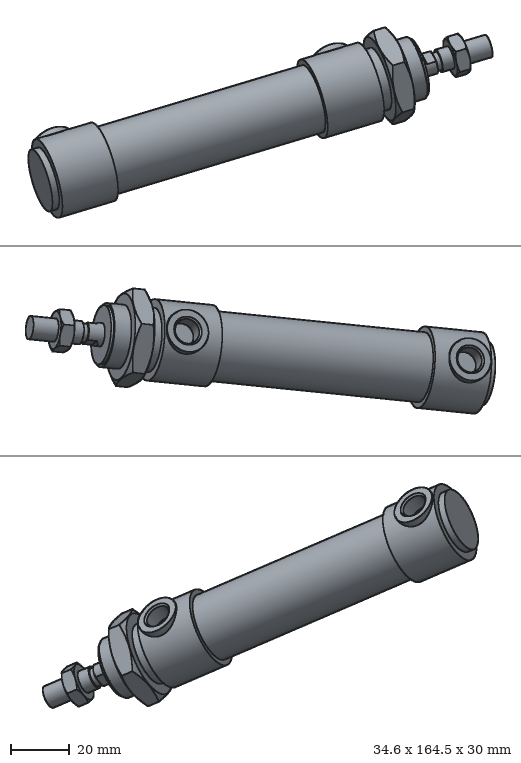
import cadquery as cq
import math

overall_length = 164.5

cap_diameter = 28.0
tube_diameter = 24.0
nose_diameter = 22.0
nose_step_length = 1.0
nose_step_diameter = 20.4
rear_cap_start = 2.5
rear_cap_end = 22.9
front_cap_start = 99.9
front_cap_end = 120.5
nose_end = 138.7
nose_step_start = nose_end - nose_step_length

port_positions = (10.4, 112.5)
boss_diameter = 15.0
boss_reach = 14.6
port_diameter = 8.7
port_depth = 6.5
port_chamfer = 0.7

rod_diameter = 8.0
rod_insertion = 8.2
rod_start = nose_end - rod_insertion
neck_diameter = 6.5
neck_start = 144.5
neck_end = 146.2
flat_width = 6.3
flat_start = 140.2
flat_ramp = (rod_diameter - flat_width) / 2

nose_nut_flats = 30.0
nose_nut_start = 124.5
nose_nut_thickness = 7.0
nose_nut_face_diameter = 29.6
rod_nut_flats = 13.0
rod_nut_start = 150.5
rod_nut_thickness = 5.0
rod_nut_face_diameter = 13.0
nut_chamfer_angle = 30.0


def cylinder_y(diameter, start, end):
    """Cylinder about the Y axis from y = start to y = end."""
    plane = cq.Workplane("XZ", origin=(0, start, 0))
    return plane.circle(diameter / 2).extrude(start - end)


def cylinder_x(diameter, start_x, end_x, y):
    """Cylinder parallel to the X axis at the given y."""
    plane = cq.Workplane("YZ", origin=(start_x, y, 0))
    return plane.circle(diameter / 2).extrude(end_x - start_x)


def make_port_cutter(y):
    """Blind port bore with a countersunk mouth."""
    bore = cylinder_x(port_diameter, -boss_reach, port_depth - boss_reach, y)
    mouth = (
        cq.Workplane("YZ", origin=(-boss_reach, y, 0))
        .circle(port_diameter / 2 + port_chamfer)
        .workplane(offset=port_chamfer)
        .circle(port_diameter / 2)
        .loft()
    )
    return bore.union(mouth)


def make_housing():
    nose = cylinder_y(nose_diameter, front_cap_end, nose_step_start)
    nose_step = cylinder_y(nose_step_diameter, nose_step_start, nose_end)
    body = cylinder_y(nose_diameter, 0, rear_cap_start)
    body = body.union(cylinder_y(cap_diameter, rear_cap_start, rear_cap_end))
    body = body.union(cylinder_y(tube_diameter, rear_cap_end, front_cap_start))
    body = body.union(cylinder_y(cap_diameter, front_cap_start, front_cap_end))
    body = body.union(nose).union(nose_step)
    for y in port_positions:
        body = body.union(cylinder_x(boss_diameter, -boss_reach, 0, y))
    for y in port_positions:
        body = body.cut(make_port_cutter(y))
    return body.cut(cylinder_y(rod_diameter, rod_start, nose_end))


def make_flat_cutter():
    """Wedge-ended cutter for the upper wrench flat."""
    return (
        cq.Workplane("YZ")
        .moveTo(flat_start, rod_diameter / 2)
        .lineTo(flat_start + flat_ramp, flat_width / 2)
        .lineTo(neck_start, flat_width / 2)
        .lineTo(neck_start, rod_diameter / 2)
        .close()
        .extrude(rod_diameter / 2, both=True)
    )


def make_rod():
    rod = cylinder_y(rod_diameter, rod_start, neck_start)
    rod = rod.union(cylinder_y(neck_diameter, neck_start, neck_end))
    rod = rod.union(cylinder_y(rod_diameter, neck_end, overall_length))
    flat_cutter = make_flat_cutter()
    return rod.cut(flat_cutter).cut(flat_cutter.mirror("XY"))


def make_nut(flats, bore_diameter, face_diameter, start, thickness):
    """Hexagon nut with corners along X and conical chamfers on both faces."""
    corner_radius = flats / math.sqrt(3)
    face_radius = face_diameter / 2
    drop = (corner_radius - face_radius) * math.tan(math.radians(nut_chamfer_angle))
    end = start + thickness
    hexagon = (
        cq.Workplane("XZ", origin=(0, start, 0))
        .polygon(6, 2 * corner_radius)
        .extrude(-thickness)
    )
    envelope = (
        cq.Workplane("XY")
        .moveTo(0, start)
        .lineTo(face_radius, start)
        .lineTo(corner_radius, start + drop)
        .lineTo(corner_radius, end - drop)
        .lineTo(face_radius, end)
        .lineTo(0, end)
        .close()
        .revolve(360, (0, 0, 0), (0, 1, 0))
    )
    return hexagon.intersect(envelope).cut(cylinder_y(bore_diameter, start, end))


housing = make_housing()
rod = make_rod()
nose_nut = make_nut(
    nose_nut_flats, nose_diameter, nose_nut_face_diameter, nose_nut_start, nose_nut_thickness
)
rod_nut = make_nut(
    rod_nut_flats, rod_diameter, rod_nut_face_diameter, rod_nut_start, rod_nut_thickness
)

result = cq.Compound.makeCompound([housing.val(), rod.val(), nose_nut.val(), rod_nut.val()])